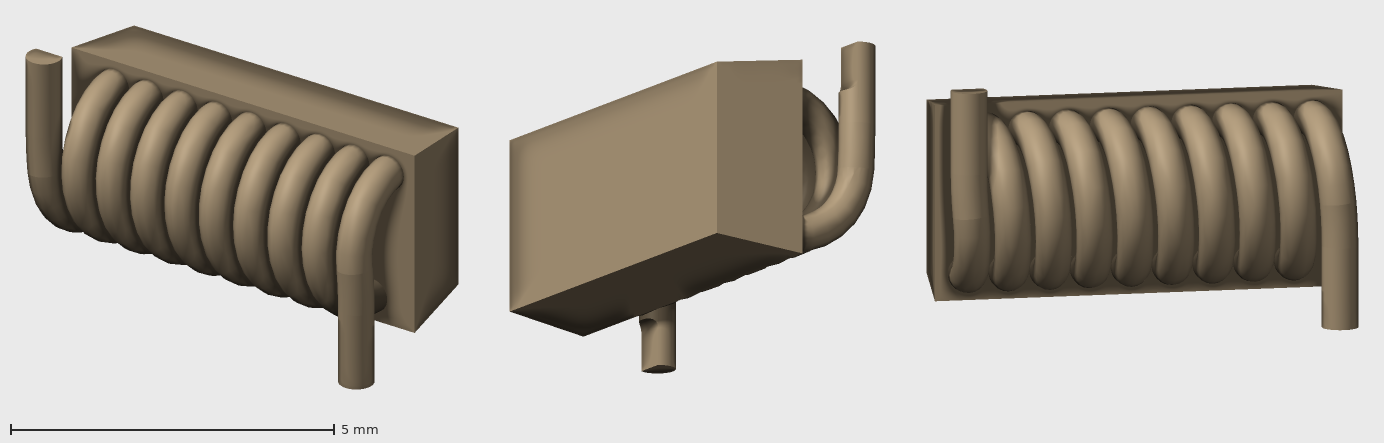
import cadquery as cq
import math

block_length = 6.45
block_height = 3.08
block_depth = 1.45
block_draft = 7.0

wire_diameter = 0.57
wire_radius = wire_diameter / 2
front_reach = 1.45
coil_radius = 1.115
coil_pitch = 0.645
coil_turns = 9
coil_length = coil_pitch * coil_turns
coil_axis_y = coil_radius + wire_radius - front_reach
lead_angle = math.atan(coil_pitch / (2 * math.pi * coil_radius))

lead_y = coil_axis_y - coil_radius
lead_end_z = 3.94 / 2
bend_height = 0.69
bend_radius = bend_height / math.sin(lead_angle)
coil_end_x = -coil_length / 2
lead_x = coil_end_x - bend_radius * (1 - math.cos(lead_angle))

flat_depth = 0.14
flat_start_z = 1.36
flat_y = lead_y + wire_radius - flat_depth


def make_coil():
    helix = cq.Wire.makeHelix(coil_pitch, coil_length, coil_radius)
    helix = helix.rotate(cq.Vector(0, 0, 0), cq.Vector(0, 1, 0), 90)
    helix = helix.rotate(cq.Vector(0, 0, 0), cq.Vector(1, 0, 0), -90)
    helix = helix.translate(cq.Vector(coil_end_x, coil_axis_y, 0))
    start_section = cq.Plane(
        origin=(coil_end_x, lead_y, 0),
        xDir=(0, 1, 0),
        normal=(math.sin(lead_angle), 0, -math.cos(lead_angle)),
    )
    return cq.Workplane(start_section).circle(wire_radius).sweep(helix, isFrenet=True)


def make_lead_flat_cutter():
    """Material removed behind the tip of the upper lead, with a quarter-round runout."""
    rear_y = flat_y + flat_depth
    mid_offset = flat_depth * math.sqrt(0.5)
    return (
        cq.Workplane("YZ", origin=(lead_x - wire_radius, 0, 0))
        .moveTo(flat_y, lead_end_z)
        .lineTo(flat_y, flat_start_z)
        .threePointArc(
            (rear_y - mid_offset, flat_start_z - mid_offset),
            (rear_y, flat_start_z - flat_depth),
        )
        .lineTo(rear_y, lead_end_z)
        .close()
        .extrude(wire_diameter)
    )


def make_upper_lead():
    half_angle = lead_angle / 2
    bend_middle = (
        lead_x + bend_radius * (1 - math.cos(half_angle)),
        bend_height - bend_radius * math.sin(half_angle),
    )
    path = (
        cq.Workplane("XZ", origin=(0, lead_y, 0))
        .moveTo(lead_x, lead_end_z)
        .lineTo(lead_x, bend_height)
        .threePointArc(bend_middle, (coil_end_x, 0))
    )
    lead = (
        cq.Workplane("XY", origin=(lead_x, lead_y, lead_end_z))
        .circle(wire_radius)
        .sweep(path)
    )
    return lead.cut(make_lead_flat_cutter())


def make_winding(coil):
    upper_lead = make_upper_lead()
    lower_lead = upper_lead.rotate((0, 0, 0), (0, 1, 0), 180)
    return coil.union(upper_lead).union(lower_lead)


def make_block(coil):
    """Block with the channel in which the rear of the coil is embedded."""
    blank = (
        cq.Workplane("XZ")
        .rect(block_length, block_height)
        .extrude(-block_depth, taper=block_draft)
    )
    return blank.cut(coil)


coil = make_coil()
winding = make_winding(coil)
block = make_block(coil)

result = cq.Compound.makeCompound([block.solids().val(), winding.solids().val()])